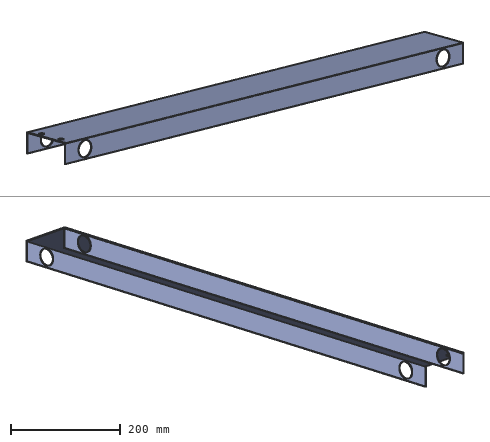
import cadquery as cq

length = 1000.0
width = 102.0
height = 40.0
thickness = 2.0

web_setback = 2.0

flange_hole_diameter = 32.0
flange_hole_end_distance = 50.0

web_hole_diameter = 10.0
web_hole_spacing = 51.0
web_hole_end_distance = 13.0

front_y = -length / 2


def make_channel():
    """Channel centred in X and Y, with its flange edges on Z = 0."""
    outer = cq.Workplane("XY").box(width, length, height, centered=(True, True, False))
    inner = cq.Workplane("XY").box(
        width - 2 * thickness, length, height - thickness, centered=(True, True, False)
    )
    return outer.cut(inner)


def make_web_setback():
    """Block that trims the front end of the web between the flanges."""
    return (
        cq.Workplane("XY")
        .box(width - 2 * thickness, web_setback, height, centered=(True, False, False))
        .translate((0, front_y, 0))
    )


def make_flange_holes():
    """Cylinders along X, passing through both flanges."""
    hole_y = length / 2 - flange_hole_end_distance
    return (
        cq.Workplane("YZ")
        .pushPoints([(-hole_y, height / 2), (hole_y, height / 2)])
        .circle(flange_hole_diameter / 2)
        .extrude(width / 2, both=True)
    )


def make_web_holes():
    """Cylinders along Z, passing through the web."""
    hole_x = web_hole_spacing / 2
    hole_y = front_y + web_hole_end_distance
    return (
        cq.Workplane("XY")
        .pushPoints([(-hole_x, hole_y), (hole_x, hole_y)])
        .circle(web_hole_diameter / 2)
        .extrude(height)
    )


result = (
    make_channel()
    .cut(make_web_setback())
    .cut(make_flange_holes())
    .cut(make_web_holes())
)